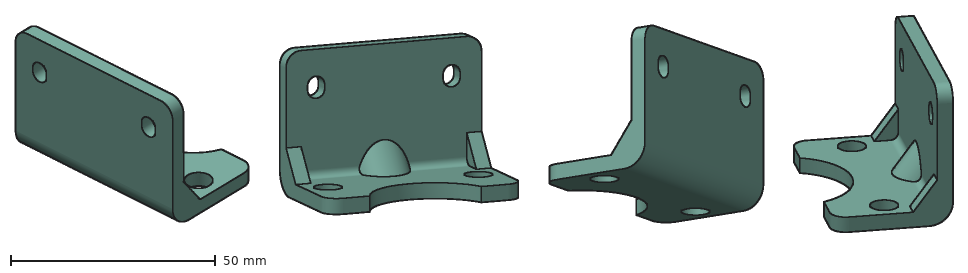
import cadquery as cq
import math

width = 52.0
depth = 30.0
height = 36.0
thickness = 4.0
inner_bend_radius = 2.0
outer_bend_radius = inner_bend_radius + thickness
corner_radius = 4.0

rib_foot_run = 6.0
rib_wall_rise = 8.0
rib_width = 4.0
boss_radius = 7.5

foot_hole_diameter = 7.0
foot_hole_spacing = 40.0
foot_hole_y = 16.0
relief_radius = 16.0
relief_bottom_y = 20.0

slot_width = 4.5
slot_length = 5.5
slot_spacing = 36.0
slot_z = 26.5


def make_angle():
    """L-shaped plate with a rounded bend and rounded free corners."""
    angle = (
        cq.Workplane("YZ")
        .polyline([
            (0, 0),
            (depth, 0),
            (depth, thickness),
            (thickness, thickness),
            (thickness, height),
            (0, height),
        ])
        .close()
        .extrude(width / 2, both=True)
    )
    angle = angle.edges("|X and <Y and <Z").fillet(outer_bend_radius)
    inner_corner = cq.selectors.NearestToPointSelector((0, thickness, thickness))
    angle = angle.edges("|X").edges(inner_corner).fillet(inner_bend_radius)
    angle = angle.faces(">Y").edges("|Z").fillet(corner_radius)
    return angle.faces(">Z").edges("|Y").fillet(corner_radius)


def make_end_rib(x_start):
    """Triangular rib filling the inner corner, starting at x_start."""
    return (
        cq.Workplane("YZ", origin=(x_start, thickness, thickness))
        .polyline([(0, 0), (rib_foot_run, 0), (0, rib_wall_rise)])
        .close()
        .extrude(rib_width)
    )


def make_middle_boss():
    """Slanted round boss whose crest runs along the slope of the end ribs."""
    slope_length = math.hypot(rib_foot_run, rib_wall_rise)
    crest_direction = cq.Vector(0, -rib_foot_run, rib_wall_rise).normalized()
    outward_normal = cq.Vector(0, rib_wall_rise, rib_foot_run).normalized()
    crest_foot = cq.Vector(0, thickness + rib_foot_run, thickness)
    axis_start = crest_foot - outward_normal * boss_radius - crest_direction * slope_length
    slanted_cylinder = cq.Workplane(
        cq.Solid.makeCylinder(boss_radius, 3 * slope_length, axis_start, crest_direction)
    )
    inner_corner = (
        cq.Workplane("XY", origin=(0, thickness / 2, thickness / 2))
        .box(width, depth, height, centered=(True, False, False))
    )
    return slanted_cylinder.intersect(inner_corner)


def make_foot_cutters():
    """Two round holes and the circular relief, all through the foot."""
    holes = (
        cq.Workplane("XY")
        .pushPoints([(side * foot_hole_spacing / 2, foot_hole_y) for side in (-1, 1)])
        .circle(foot_hole_diameter / 2)
        .extrude(thickness)
    )
    relief = (
        cq.Workplane("XY")
        .center(0, relief_bottom_y + relief_radius)
        .circle(relief_radius)
        .extrude(thickness)
    )
    return holes.union(relief)


def make_wall_slots():
    """Two upright slots through the wall."""
    return (
        cq.Workplane("XZ")
        .pushPoints([(side * slot_spacing / 2, slot_z) for side in (-1, 1)])
        .slot2D(slot_length, slot_width, angle=90)
        .extrude(-thickness)
    )


bracket = make_angle()
for rib_start in (-width / 2, width / 2 - rib_width):
    bracket = bracket.union(make_end_rib(rib_start))
bracket = bracket.union(make_middle_boss())

result = bracket.cut(make_foot_cutters()).cut(make_wall_slots())